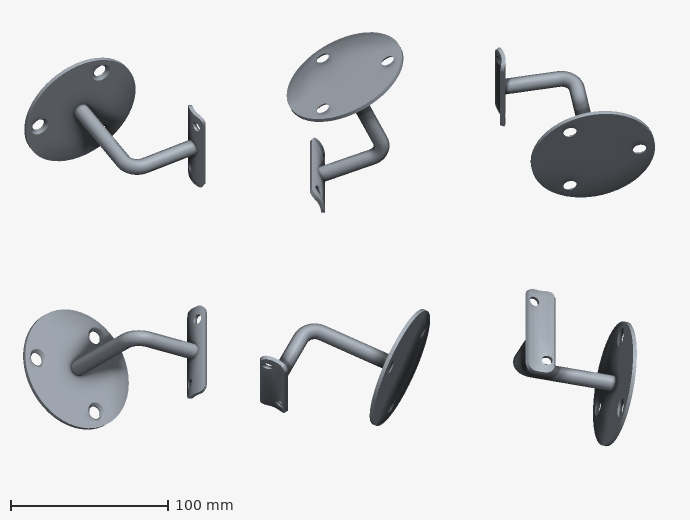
import cadquery as cq
import math

overall_y = 89.45
plate_diameter = 80.0
plate_thickness = 2.5
plate_hole_diameter = 8.5
plate_hole_land = 0.5
countersink_angle = 90
plate_hole_circle_radius = 30.0
plate_hole_angles = (60, 180, 300)

rod_diameter = 10.0
bend_radius = 10.0
post_x = 67.0

saddle_outer_radius = 20.0
saddle_thickness = 2.5
saddle_half_angle = math.radians(30)
saddle_height = 60.0
saddle_corner_radius = 5.0
saddle_hole_diameter = 6.5
saddle_hole_offset_x = 4.2
saddle_hole_offset_z = 20.9

countersink_depth = plate_thickness - plate_hole_land
countersink_flare = countersink_depth * math.tan(math.radians(countersink_angle / 2))
countersink_diameter = plate_hole_diameter + 2 * countersink_flare

saddle_inner_radius = saddle_outer_radius - saddle_thickness
saddle_tip_y = overall_y - plate_diameter / 2
saddle_axis_y = saddle_tip_y + saddle_inner_radius * math.cos(saddle_half_angle)


def make_wall_plate():
    disc = cq.Workplane("YZ").circle(plate_diameter / 2).extrude(plate_thickness)
    hole_centers = [
        (
            plate_hole_circle_radius * math.cos(math.radians(angle)),
            plate_hole_circle_radius * math.sin(math.radians(angle)),
        )
        for angle in plate_hole_angles
    ]
    return (
        disc.faces(">X")
        .workplane(origin=(0, 0, 0))
        .pushPoints(hole_centers)
        .cskHole(plate_hole_diameter, countersink_diameter, countersink_angle)
    )


def make_rod():
    rod_end_y = saddle_axis_y - saddle_outer_radius + saddle_thickness / 2
    path = (
        cq.Workplane("XY")
        .moveTo(plate_thickness, 0)
        .lineTo(post_x - bend_radius, 0)
        .radiusArc((post_x, bend_radius), -bend_radius)
        .lineTo(post_x, rod_end_y)
    )
    section = cq.Workplane("YZ", origin=(plate_thickness, 0, 0)).circle(rod_diameter / 2)
    return section.sweep(path)


def saddle_point(radius, angle):
    """Point on a saddle arc, at an angle from the arc's lowest point."""
    return (
        post_x + radius * math.sin(angle),
        saddle_axis_y - radius * math.cos(angle),
    )


def make_saddle():
    strip = (
        cq.Workplane("XY")
        .moveTo(*saddle_point(saddle_outer_radius, -saddle_half_angle))
        .threePointArc(
            saddle_point(saddle_outer_radius, 0),
            saddle_point(saddle_outer_radius, saddle_half_angle),
        )
        .lineTo(*saddle_point(saddle_inner_radius, saddle_half_angle))
        .threePointArc(
            saddle_point(saddle_inner_radius, 0),
            saddle_point(saddle_inner_radius, -saddle_half_angle),
        )
        .close()
        .extrude(saddle_height / 2, both=True)
    )
    rounded_strip = strip.edges("%LINE and (not |Z)").fillet(saddle_corner_radius)
    holes = (
        cq.Workplane("XZ", origin=(post_x, 0, 0))
        .pushPoints([
            (saddle_hole_offset_x, saddle_hole_offset_z),
            (-saddle_hole_offset_x, -saddle_hole_offset_z),
        ])
        .circle(saddle_hole_diameter / 2)
        .extrude(-overall_y)
    )
    return rounded_strip.cut(holes)


result = make_wall_plate().union(make_rod()).union(make_saddle())